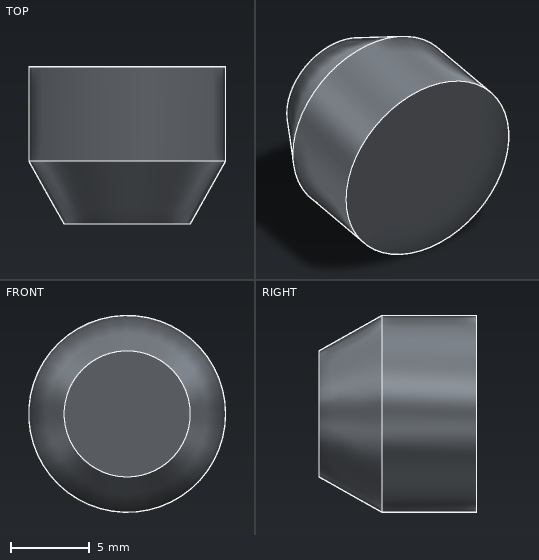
import cadquery as cq

body_diameter = 12.5
tip_diameter = 8.0
total_length = 10.0
cone_length = 4.0

body_radius = body_diameter / 2
tip_radius = tip_diameter / 2

half_profile = (
    cq.Workplane("XY")
    .lineTo(tip_radius, 0)
    .lineTo(body_radius, cone_length)
    .lineTo(body_radius, total_length)
    .lineTo(0, total_length)
    .close()
)

result = half_profile.revolve(360, (0, 0, 0), (0, 1, 0))